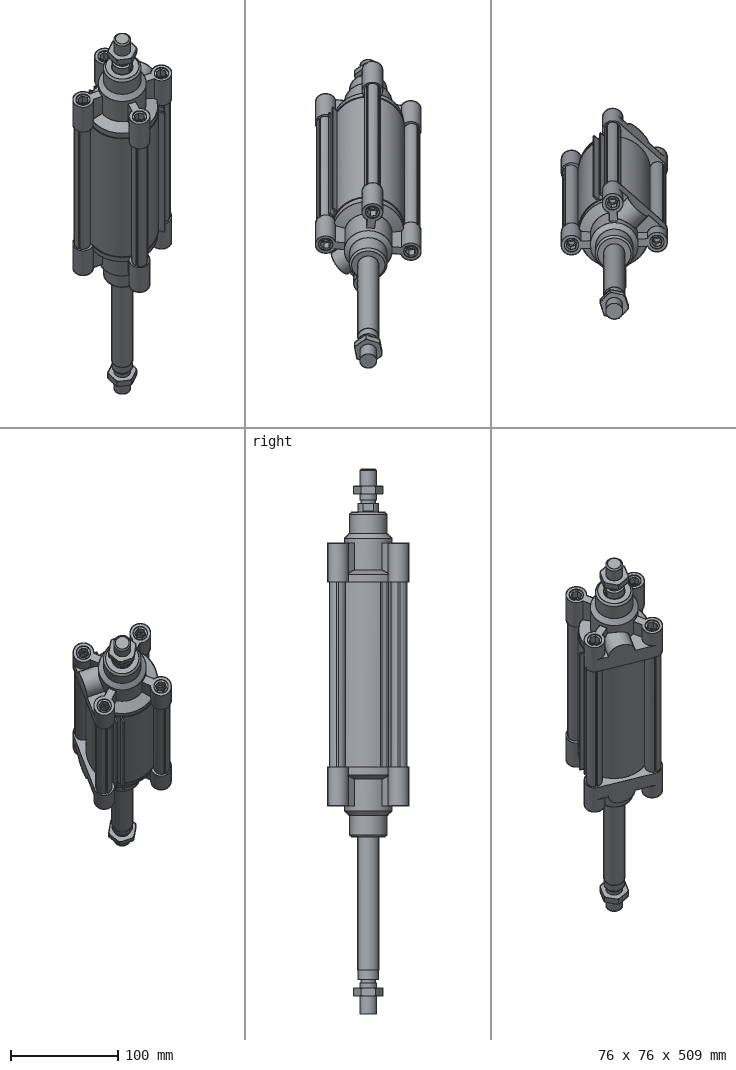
import cadquery as cq
import math

TOTAL_LENGTH = 509.0
BODY_WIDTH = 76.0
MID_Z = 317.0
BARREL_LENGTH = 173.0
BARREL_TOP = MID_Z + BARREL_LENGTH / 2
BARREL_BOTTOM = MID_Z - BARREL_LENGTH / 2

BARREL_DIA = 67.5
BORE_DIA = 63.0
BARREL_LOBE_DIA = 15.5
BARREL_LOBE_OFFSET = 28.75
SLOT_WIDTH = 1.5
SLOT_DEPTH = 1.5
FIN_WIDTH = 1.5
LONG_FIN_Y = 12.0
SHORT_FIN_Y = 18.5
LONG_FIN_REACH = 37.5
SHORT_FIN_REACH = 35.0
FIN_ROOT = 26.5

COVER_LOBE_DIA = 19.5
COVER_LOBE_HEIGHT = 36.0
COVER_LOBE_OFFSET = (BODY_WIDTH - COVER_LOBE_DIA) / 2
FLANGE_DIA = 66.0
FLANGE_EDGE_HEIGHT = 7.0
FLANGE_PEAK_HEIGHT = 11.0
NECK_DIA = 45.0
NECK_HEIGHT = 40.5
GUIDE_DIA = 35.0
GUIDE_BASE_HEIGHT = 45.5
GUIDE_TOP_HEIGHT = 65.0
GUIDE_CHAMFER = 2.0
WEB_WIDTH = 7.5

RECESS_DIA = 13.0
RECESS_DEPTH = 1.0
HEX_CORNER_DIA = 10.0
HEX_DEPTH = 10.0
PILOT_DIA = 6.5
PILOT_DEPTH = 20.5

PORT_BOSS_DIA = 26.0
PORT_BOSS_X = 4.5
PORT_BOSS_HEIGHT = 18.0

ROD_DIA = 20.0
ROD_END_DIA = 19.5
ROD_END_LENGTH = 9.0
THREAD_DIA = 16.0
THREAD_LENGTH = 29.0
UNDERCUT_DIA = 13.5
UNDERCUT_LENGTH = 3.0
THREAD_CHAMFER = 1.5
FLAT_SPACING = 17.0
FLAT_LENGTH = 7.0

NUT_WIDTH = 24.0
NUT_THICKNESS = 7.5
NUT_CHAMFER = 0.75
UPPER_NUT_BOTTOM = 485.5
LOWER_NUT_BOTTOM = 17.0

SIDES = (-1, 1)


def corner_points(offset):
    return [(side_x * offset, side_y * offset) for side_x in SIDES for side_y in SIDES]


def cylinder(diameter, z_bottom, height):
    return cq.Workplane("XY").workplane(offset=z_bottom).circle(diameter / 2).extrude(height)


def block(x_range, y_range, z_range):
    size = [high - low for low, high in (x_range, y_range, z_range)]
    corner = (x_range[0], y_range[0], z_range[0])
    return cq.Workplane("XY").box(*size, centered=False).translate(corner)


def make_fin(side, y_center, reach):
    """Rail running along the barrel on its -X or +X side."""
    x_range = sorted((side * FIN_ROOT, side * reach))
    y_range = (y_center - FIN_WIDTH / 2, y_center + FIN_WIDTH / 2)
    return block(x_range, y_range, (BARREL_BOTTOM, BARREL_TOP))


def make_barrel():
    lobe_points = corner_points(BARREL_LOBE_OFFSET)
    tube = cylinder(BARREL_DIA, BARREL_BOTTOM, BARREL_LENGTH)
    lobes = (
        cq.Workplane("XY").workplane(offset=BARREL_BOTTOM)
        .pushPoints(lobe_points).circle(BARREL_LOBE_DIA / 2).extrude(BARREL_LENGTH)
    )
    barrel = tube.union(lobes)
    for side in SIDES:
        barrel = barrel.union(make_fin(side, LONG_FIN_Y, LONG_FIN_REACH))
        barrel = barrel.union(make_fin(side, SHORT_FIN_Y, SHORT_FIN_REACH))

    groove_center = BARREL_LOBE_OFFSET + BARREL_LOBE_DIA / 2
    x_facing = [(math.copysign(groove_center, x), y) for x, y in lobe_points]
    y_facing = [(x, math.copysign(groove_center, y)) for x, y in lobe_points]
    plane = cq.Workplane("XY").workplane(offset=BARREL_BOTTOM)
    barrel = barrel.cut(plane.pushPoints(x_facing).rect(2 * SLOT_DEPTH, SLOT_WIDTH).extrude(BARREL_LENGTH))
    barrel = barrel.cut(plane.pushPoints(y_facing).rect(SLOT_WIDTH, 2 * SLOT_DEPTH).extrude(BARREL_LENGTH))
    return barrel.cut(cylinder(BORE_DIA, BARREL_BOTTOM, BARREL_LENGTH))


def make_cover_core():
    """Turned shape of the cover: coned flange, neck and rod guide."""
    return (
        cq.Workplane("XZ")
        .polyline([
            (0, 0),
            (FLANGE_DIA / 2, 0),
            (FLANGE_DIA / 2, FLANGE_EDGE_HEIGHT),
            (NECK_DIA / 2, FLANGE_PEAK_HEIGHT),
            (NECK_DIA / 2, NECK_HEIGHT),
            (GUIDE_DIA / 2, GUIDE_BASE_HEIGHT),
            (GUIDE_DIA / 2, GUIDE_TOP_HEIGHT - GUIDE_CHAMFER),
            (GUIDE_DIA / 2 - GUIDE_CHAMFER, GUIDE_TOP_HEIGHT),
            (0, GUIDE_TOP_HEIGHT),
        ])
        .close()
        .revolve(360, (0, 0, 0), (0, 1, 0))
    )


def make_port_side():
    """Round port boss along +Y, with a block between the two lobes below its axis."""
    outer_y = BODY_WIDTH / 2
    boss = (
        cq.Workplane("XZ").center(PORT_BOSS_X, PORT_BOSS_HEIGHT)
        .circle(PORT_BOSS_DIA / 2).extrude(-outer_y)
    )
    base = (
        cq.Workplane("XY")
        .polyline([
            (0, 0),
            (COVER_LOBE_OFFSET, COVER_LOBE_OFFSET),
            (COVER_LOBE_OFFSET, outer_y),
            (-COVER_LOBE_OFFSET, outer_y),
            (-COVER_LOBE_OFFSET, COVER_LOBE_OFFSET),
        ])
        .close()
        .extrude(PORT_BOSS_HEIGHT)
    )
    return boss.union(base)


def make_upper_cover():
    cover = make_cover_core().union(make_port_side())
    web_span = 2 * math.sqrt(2) * COVER_LOBE_OFFSET
    for angle in (45, 135):
        web = cq.Workplane("XY").rect(web_span, WEB_WIDTH).extrude(COVER_LOBE_HEIGHT)
        cover = cover.union(web.rotate((0, 0, 0), (0, 0, 1), angle))
    lobe_points = corner_points(COVER_LOBE_OFFSET)
    lobes = cq.Workplane("XY").pushPoints(lobe_points).circle(COVER_LOBE_DIA / 2).extrude(COVER_LOBE_HEIGHT)
    cover = cover.union(lobes)
    sockets = cq.Workplane("XY").workplane(offset=COVER_LOBE_HEIGHT).pushPoints(lobe_points)
    cover = cover.cut(sockets.circle(RECESS_DIA / 2).extrude(-RECESS_DEPTH))
    cover = cover.cut(sockets.polygon(6, HEX_CORNER_DIA).extrude(-HEX_DEPTH))
    cover = cover.cut(sockets.circle(PILOT_DIA / 2).extrude(-PILOT_DEPTH))
    cover = cover.cut(cylinder(ROD_DIA, 0, GUIDE_TOP_HEIGHT))
    return cover.translate((0, 0, BARREL_TOP))


def make_rod():
    """Through rod: a neck with a threaded stub at each end, flats on the upper neck."""
    shoulder = THREAD_LENGTH + UNDERCUT_LENGTH
    rod_start = shoulder + ROD_END_LENGTH
    rod = cylinder(ROD_DIA, rod_start, TOTAL_LENGTH - 2 * rod_start)
    rod = rod.union(cylinder(ROD_END_DIA, shoulder, TOTAL_LENGTH - 2 * shoulder))
    rod = rod.union(cylinder(UNDERCUT_DIA, THREAD_LENGTH, TOTAL_LENGTH - 2 * THREAD_LENGTH))
    rod = rod.union(cylinder(THREAD_DIA, 0, THREAD_LENGTH))
    upper_thread = cylinder(THREAD_DIA, TOTAL_LENGTH - THREAD_LENGTH, THREAD_LENGTH)
    rod = rod.union(upper_thread.faces(">Z").chamfer(THREAD_CHAMFER))
    flats_top = TOTAL_LENGTH - shoulder
    for side in SIDES:
        x_range = sorted((side * FLAT_SPACING / 2, side * ROD_DIA))
        rod = rod.cut(block(x_range, (-ROD_DIA, ROD_DIA), (flats_top - FLAT_LENGTH, flats_top)))
    return rod


def make_nut(z_bottom):
    """Hexagon nut with corners on the Y axis, chamfered at both ends."""
    corner_dia = NUT_WIDTH / math.cos(math.pi / 6)
    hexagon = cq.Workplane("XY").polygon(6, corner_dia).extrude(NUT_THICKNESS)
    hexagon = hexagon.rotate((0, 0, 0), (0, 0, 1), 90)
    envelope = cylinder(corner_dia, 0, NUT_THICKNESS).edges().chamfer(NUT_CHAMFER)
    nut = hexagon.intersect(envelope).cut(cylinder(THREAD_DIA, 0, NUT_THICKNESS))
    return nut.translate((0, 0, z_bottom))


barrel = make_barrel()
upper_cover = make_upper_cover()
lower_cover = upper_cover.mirror("XY", (0, 0, MID_Z))
rod = make_rod()
nuts = [make_nut(z_bottom) for z_bottom in (LOWER_NUT_BOTTOM, UPPER_NUT_BOTTOM)]

result = cq.Compound.makeCompound([
    barrel.val(),
    upper_cover.val(),
    lower_cover.val(),
    rod.val(),
    *[nut.val() for nut in nuts],
])